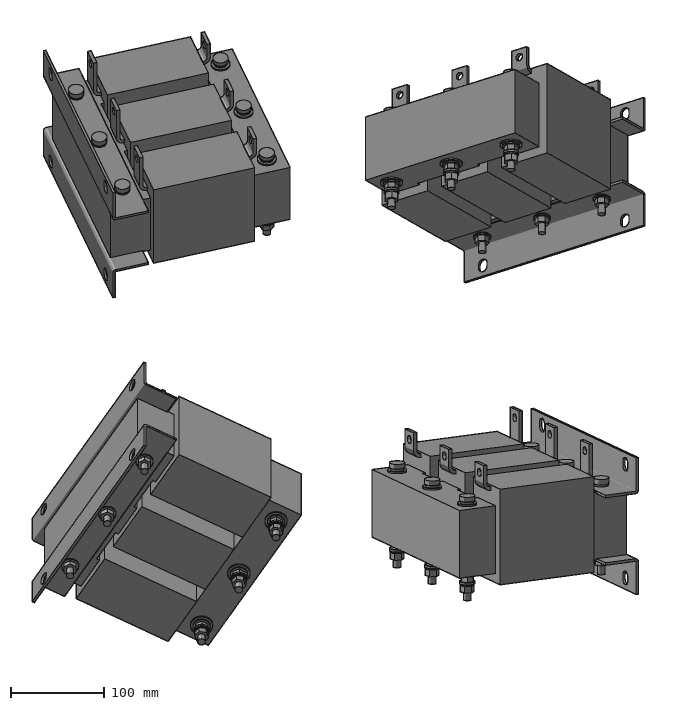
import cadquery as cq


core_width = 200.0
limb_width = core_width / 5
limb_pitch = 2 * limb_width
limb_positions = [-limb_pitch, 0, limb_pitch]
core_height = 75.0
core_top = core_height / 2
core_back = 207.0
core_front = 3.8
window_depth = 121.2
window_back = core_back - limb_width

coil_width = 61.2
coil_front = 49.2
coil_back = 163.2
coil_top = 58.3
coil_bottom = -47.8

bracket_length = 240
bracket_overall_height = 151.5
bracket_thickness = 3.0
bracket_bend_radius = 3.8
bracket_reach = 40.3
bracket_outer = bracket_overall_height / 2
bracket_shelf_top = 39.0
slot_width = 11.0
slot_length = 15.0
slot_spacing = 190.0
slot_edge_distance = 12.7

terminal_width = 20.0
terminal_thickness = 4.0
terminal_bend_radius = 8.6
terminal_hole_diameter = 8.5
terminal_hole_from_top = 9.5
terminal_embed = 2.5
front_terminal_face = 40.0
front_terminal_bottom = 40.3
front_terminal_top = bracket_outer + 13.5
rear_terminal_face = 172.3
rear_terminal_bottom = 52.3
rear_terminal_top = 80.6

front_bolt_y = 24.0
rear_bolt_y = 187.0
head_diameter = 16.5
head_top = 47.3
front_neck_diameter = 15.4
spacer_diameter = 14.6
washer_diameter = 18.7
head_washer_diameter = 20.5
wide_washer_diameter = 24.0
nut_across_corners = 15.0
front_rod_diameter = 8.0
front_rod_bottom = -59.5
rear_rod_diameter = 8.5
rear_rod_bottom = -68.5

front_head_bottom = 41.0
front_washer_top = -40.8
front_nut_top = -42.2
front_nut_bottom = -48.7
front_collars = [
    (head_diameter, front_head_bottom, head_top),
    (front_neck_diameter, bracket_shelf_top, front_head_bottom),
    (spacer_diameter, front_washer_top, -bracket_shelf_top),
    (washer_diameter, front_nut_top, front_washer_top),
]
rear_head_bottom = 41.8
rear_washer_thickness = 1.7
rear_upper_washer_top = core_top + rear_washer_thickness
rear_lower_washer_bottom = -rear_upper_washer_top
rear_nut_top = -40.8
rear_nut_bottom = -47.5
lock_washer_bottom = -50.2
lock_nut_top = -51.8
lock_nut_bottom = -59.3
rear_collars = [
    (head_diameter, rear_head_bottom, head_top),
    (spacer_diameter, rear_upper_washer_top, rear_head_bottom),
    (head_washer_diameter, core_top, rear_upper_washer_top),
    (wide_washer_diameter, rear_lower_washer_bottom, -core_top),
    (washer_diameter, rear_nut_top, rear_lower_washer_bottom),
    (head_diameter, lock_washer_bottom, rear_nut_bottom),
    (spacer_diameter, lock_nut_top, lock_washer_bottom),
]

front_nuts = [(30, front_nut_bottom, front_nut_top)]
rear_nuts = [(35, rear_nut_bottom, rear_nut_top), (10, lock_nut_bottom, lock_nut_top)]


def box_between(x_span, y_span, z_span):
    """Box filling the given (low, high) range along each axis."""
    lows, highs = zip(x_span, y_span, z_span)
    sizes = [high - low for low, high in zip(lows, highs)]
    return cq.Workplane("XY").box(*sizes, centered=False).translate(lows)


def disc(y, diameter, bottom, top):
    """Upright cylinder on the X = 0 bolt axis."""
    return cq.Workplane("XY", origin=(0, y, bottom)).circle(diameter / 2).extrude(top - bottom)


def hex_nut(y, turn, bottom, top):
    """Hexagonal nut on the X = 0 bolt axis, with a corner turned by `turn` degrees from +X."""
    base = cq.Workplane("XY", origin=(0, y, bottom)).transformed(rotate=(0, 0, turn))
    return base.polygon(6, nut_across_corners).extrude(top - bottom)


def make_core():
    half_width = core_width / 2
    core = box_between((-half_width, half_width), (core_front, core_back), (-core_top, core_top))
    for window_x in (-limb_width, limb_width):
        core = core.cut(
            box_between(
                (window_x - limb_width / 2, window_x + limb_width / 2),
                (window_back - window_depth, window_back),
                (-core_top, core_top),
            )
        )
    return core


def make_coil():
    return box_between((-coil_width / 2, coil_width / 2), (coil_front, coil_back), (coil_bottom, coil_top))


def make_upper_bracket():
    """Angle bracket: a shelf let into the core top and a slotted upright flange in front."""
    shelf_bottom = bracket_shelf_top - bracket_thickness
    half_length = bracket_length / 2
    span = (-half_length, half_length)
    shelf = box_between(span, (0, bracket_reach), (shelf_bottom, bracket_shelf_top))
    flange = box_between(span, (0, bracket_thickness), (shelf_bottom, bracket_outer))
    bracket = shelf.union(flange)
    outer_corner = (0, 0, shelf_bottom)
    bracket = bracket.edges(cq.selectors.NearestToPointSelector(outer_corner)).fillet(bracket_bend_radius)
    inner_corner = (0, bracket_thickness, bracket_shelf_top)
    inner_radius = bracket_bend_radius - bracket_thickness
    bracket = bracket.edges(cq.selectors.NearestToPointSelector(inner_corner)).fillet(inner_radius)
    slots = (
        cq.Workplane("XZ", origin=(0, 0, bracket_outer - slot_edge_distance))
        .rarray(slot_spacing, 2.5, 2, 1)
        .slot2D(slot_length, slot_width, 90)
        .extrude(-bracket_thickness)
    )
    return bracket.cut(slots)


def make_terminal(face_y, coil_face_y, bottom, top):
    """Flat tab that leaves the coil face, bends upwards and carries a hole near its top."""
    inward = 1 if coil_face_y > face_y else -1
    inner_radius = terminal_bend_radius - terminal_thickness
    bend_y = face_y + inward * terminal_bend_radius
    bend_z = bottom + terminal_bend_radius
    root_y = coil_face_y + inward * terminal_embed
    inner_face_y = face_y + inward * terminal_thickness
    diagonal = 0.5 ** 0.5
    outer_mid = (bend_y - inward * terminal_bend_radius * diagonal, bend_z - terminal_bend_radius * diagonal)
    inner_mid = (bend_y - inward * inner_radius * diagonal, bend_z - inner_radius * diagonal)
    tab = (
        cq.Workplane("YZ")
        .moveTo(root_y, bottom)
        .lineTo(bend_y, bottom)
        .threePointArc(outer_mid, (face_y, bend_z))
        .lineTo(face_y, top)
        .lineTo(inner_face_y, top)
        .lineTo(inner_face_y, bend_z)
        .threePointArc(inner_mid, (bend_y, bottom + terminal_thickness))
        .lineTo(root_y, bottom + terminal_thickness)
        .close()
        .extrude(terminal_width / 2, both=True)
    )
    hole = (
        cq.Workplane("XZ", origin=(0, face_y, top - terminal_hole_from_top))
        .circle(terminal_hole_diameter / 2)
        .extrude(terminal_thickness, both=True)
    )
    return tab.cut(hole)


def make_bolt(y, rod_diameter, rod_bottom, collars, nuts):
    """Clamp bolt: a rod with round collars (diameter, bottom, top) and nuts (turn, bottom, top)."""
    bolt = disc(y, rod_diameter, rod_bottom, head_top)
    for diameter, bottom, top in collars:
        bolt = bolt.union(disc(y, diameter, bottom, top))
    for turn, bottom, top in nuts:
        bolt = bolt.union(hex_nut(y, turn, bottom, top))
    return bolt


def make_phase():
    """Everything that repeats on each limb: a coil, its two terminals and its two clamp bolts."""
    front_terminal = make_terminal(front_terminal_face, coil_front, front_terminal_bottom, front_terminal_top)
    rear_terminal = make_terminal(rear_terminal_face, coil_back, rear_terminal_bottom, rear_terminal_top)
    front_bolt = make_bolt(front_bolt_y, front_rod_diameter, front_rod_bottom, front_collars, front_nuts)
    rear_bolt = make_bolt(rear_bolt_y, rear_rod_diameter, rear_rod_bottom, rear_collars, rear_nuts)
    return make_coil().union(front_terminal).union(rear_terminal).union(front_bolt).union(rear_bolt)


upper_bracket = make_upper_bracket()
result = make_core().union(upper_bracket).union(upper_bracket.mirror("XY"))
phase = make_phase()
for limb_x in limb_positions:
    result = result.union(phase.translate((limb_x, 0, 0)))